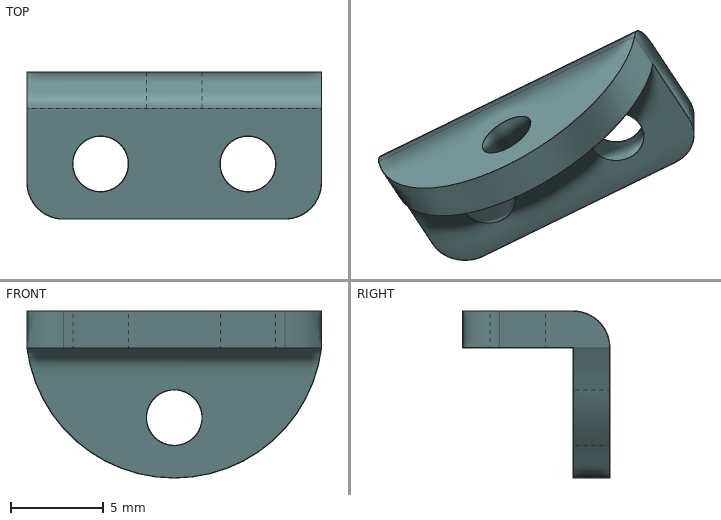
import cadquery as cq

length = 16.0
depth = 8.0
height = 9.07
thickness = 2.0
corner_radius = thickness
hole_diameter = 3.0
flange_hole_spacing = length / 2
flange_hole_y = -(thickness + depth) / 2
tab_hole_z = -5.8
tab_drop = height - thickness
tab_radius = ((length / 2) ** 2 + tab_drop**2) / (2 * tab_drop)
tab_center_z = tab_radius - height


def make_flange():
    """Plate with its top at Z = 0 and its rear face at Y = 0."""
    plate = cq.Workplane("XY").box(length, depth, thickness, centered=(True, False, False))
    plate = plate.translate((0, -depth, -thickness))
    plate = plate.edges("|Z and <Y").fillet(corner_radius)
    bend_strip = cq.Workplane("XY").box(length, thickness, thickness).translate(
        (0, -thickness / 2, -thickness / 2)
    )
    bend = (
        cq.Workplane("YZ", origin=(-length / 2, 0, 0))
        .center(-thickness, -thickness)
        .circle(thickness)
        .extrude(length)
    )
    plate = plate.cut(bend_strip.cut(bend))
    holes = (
        cq.Workplane("XY")
        .pushPoints([(side * flange_hole_spacing / 2, flange_hole_y) for side in (-1, 1)])
        .circle(hole_diameter / 2)
        .extrude(-thickness)
    )
    return plate.cut(holes)


def make_tab():
    """Circular segment below the flange, with one hole through it."""
    disc = cq.Workplane("XZ").center(0, tab_center_z).circle(tab_radius).extrude(thickness)
    below_flange = cq.Workplane("XY", origin=(0, -thickness / 2, -thickness)).rect(
        length, thickness
    ).extrude(-height)
    hole = cq.Workplane("XZ").center(0, tab_hole_z).circle(hole_diameter / 2).extrude(thickness)
    return disc.intersect(below_flange).cut(hole)


result = make_flange().union(make_tab())